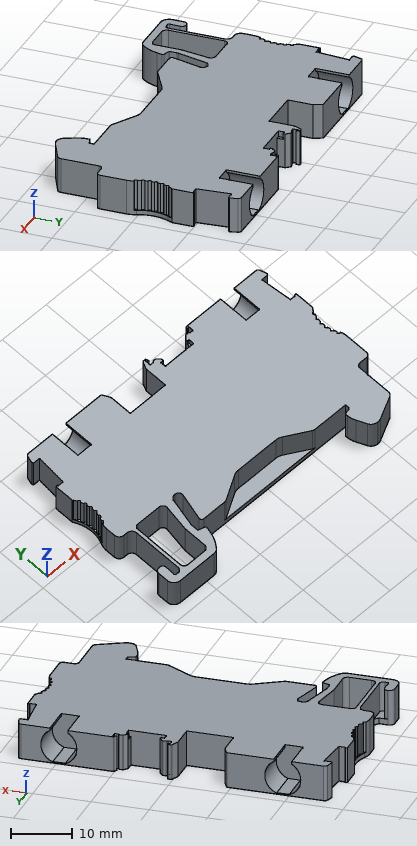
import cadquery as cq
import math

LENGTH = 55.1
HEIGHT = 35.5
THICKNESS = 6.2
MID_X = 27.63
FLANK_X = 0.15
RAIL_Y = 6.1
NOTCH_FLOOR_Y = 29.55
WEB_THICKNESS = 1.05

GRIP_TOP_Y = 23.8
GRIP_BOTTOM_Y = 16.65
GRIP_MIDDLE_Y = (GRIP_TOP_Y + GRIP_BOTTOM_Y) / 2
GRIP_VERTEX_DEPTH = 1.65
GRIP_RADIUS = 6.6
GRIP_BLEND = 3.8
GRIP_STEP = 0.1
BAND_TOP_Y, BAND_BOTTOM_Y = 23.7, 17.25
GROOVE_COUNT = 6
GROOVE_PITCH = 1.1
GROOVE_TOP_Y = 22.8
GROOVE_RADIUS = 0.3
GROOVE_FLOOR_Z = 0.8

ENTRY_CENTERS = (8.65, 47.1)
ENTRY_RADIUS = 3.1
ENTRY_SLOT_WIDTH = 3.1
ENTRY_FLOOR_Z = 0.2
ENTRY_CHAMFER = 0.15
ENTRY_CHAMFER_DROP = 0.1

SEAT_FLOOR_Y = 32.25
SEAT_LEFT, SEAT_RIGHT = 30.3, 35.8
SEAT_POCKET_HEIGHT = 1.05
SEAT_POCKET_DEPTH = 1.05
SEAT_POCKET_LEFT, SEAT_POCKET_RIGHT = 0.6, 0.4

RECESS_LEFT, RECESS_RIGHT = 17.9, 38.1
RECESS_DEPTH = 3.0
RECESS_SLOPE = 30.0
RECESS_INNER_RADIUS = 2.35
RECESS_OUTER_RADIUS = 0.95

CORNER = 0.7


def rounded_outline(vertices):
    """Closed 2D outline through (x, y, radius) vertices, rounded by tangent arcs."""
    corners = []
    count = len(vertices)
    for i, (x, y, radius) in enumerate(vertices):
        here = cq.Vector(x, y)
        if radius == 0:
            corners.append((here, None, here))
            continue
        before = cq.Vector(*vertices[i - 1][:2])
        after = cq.Vector(*vertices[(i + 1) % count][:2])
        to_before = (before - here).normalized()
        to_after = (after - here).normalized()
        half_angle = to_before.getAngle(to_after) / 2
        reach = radius / math.tan(half_angle)
        bisector = (to_before + to_after).normalized()
        middle = here + bisector * (radius / math.sin(half_angle) - radius)
        corners.append((here + to_before * reach, middle, here + to_after * reach))
    outline = cq.Workplane("XY").moveTo(*corners[0][2].toTuple()[:2])
    for start, middle, end in corners[1:] + corners[:1]:
        outline = outline.lineTo(*start.toTuple()[:2])
        if middle is not None:
            outline = outline.threePointArc(middle.toTuple()[:2], end.toTuple()[:2])
    return outline.close()


def prism(vertices, bottom=0.0, top=THICKNESS):
    """Rounded outline extruded between two heights."""
    return rounded_outline(vertices).extrude(top - bottom).translate((0, 0, bottom))


def mirrored(vertices):
    """The same run of vertices on the opposite flank, in the reverse order."""
    return [(2 * MID_X - x, y, r) for x, y, r in reversed(vertices)]


def body():
    left_flank = [
        (FLANK_X, GRIP_BOTTOM_Y, GRIP_BLEND),
        (FLANK_X + GRIP_VERTEX_DEPTH, GRIP_MIDDLE_Y, GRIP_RADIUS),
        (FLANK_X, GRIP_TOP_Y, 0),
        (FLANK_X, 27.6, 0),
        (0.55, 27.6, 0),
        (0.55, 27.45, 0),
        (1.65, 27.45, 0),
        (2.2, 33.5, 0),
        (0.9, 33.5, 0),
        (0.7, 33.8, 0),
        (1.2, HEIGHT, 0.55),
    ]
    middle_notch_and_posts = [
        (18.3, HEIGHT, 0.15),
        (19.05, 34.0, 0),
        (19.05, NOTCH_FLOOR_Y, 0),
        (27.1, NOTCH_FLOOR_Y, 0),
        (27.1, 34.0, 0),
        (27.75, HEIGHT, 0.15),
        (28.45, HEIGHT, 0),
        (28.6, 34.9, 0),
        (28.15, 35.25, 0),
        (28.15, 34.15, 0),
        (28.8, 34.15, 0),
        (29.05, 34.4, 0.15),
        (29.65, 34.4, 0.15),
        (SEAT_LEFT, 33.65, 0),
        (SEAT_LEFT, SEAT_FLOOR_Y, 0),
        (SEAT_RIGHT, SEAT_FLOOR_Y, 0),
        (SEAT_RIGHT, 33.65, 0),
        (36.5, 34.4, 0.15),
        (37.1, 34.4, 0.15),
        (37.3, 34.15, 0),
        (37.95, 34.15, 0),
        (37.95, 35.25, 0),
        (37.35, 34.9, 0),
        (37.7, HEIGHT, 0.1),
    ]
    right_foot = [
        (LENGTH, 10.45, CORNER),
        (52.1, 10.45, CORNER),
        (52.1, 2.55, 0.9),
        (47.1, 0, 1.75),
        (45.6, 0, 1.55),
        (44.0, 3.5, 4.4),
        (43.95, 4.85, 0.1),
        (45.3, 5.25, 0.2),
        (45.3, RAIL_Y, 0),
    ]
    spring_slot = [
        (12.25, RAIL_Y, 0.5),
        (14.05, 12.9, 0.8),
        (12.1, 12.9, 0.9),
        (10.6, 6.7, 1.1),
        (10.6, 5.2, 0.1),
        (12.05, 4.75, 0.2),
    ]
    left_foot = [
        (11.4, 1.95, 7.15),
        (9.85, 0, 1.45),
        (0, 0, 1.5),
        (0, 4.3, 0.9),
        (1.75, 4.3, 0.75),
        (1.65, 1.4, 0.2),
        (3.1, 1.4, CORNER),
        (3.1, 12.9, 1.1),
        (FLANK_X, 12.9, 1.1),
    ]
    return prism(
        left_flank + middle_notch_and_posts + mirrored(left_flank)
        + right_foot + spring_slot + left_foot
    )


def spring_window():
    """Through opening that makes the left foot springy."""
    return prism([
        (3.75, 12.9, CORNER),
        (10.35, 12.9, 0.9),
        (9.3, 6.85, 1.1),
        (9.3, 1.45, 0.9),
        (3.75, 1.45, 0.9),
    ])


def hook_web():
    """Thin web that closes the gap behind the release hook."""
    return prism([
        (0.9, 4.3, 0),
        (2.4, 4.3, 0),
        (3.1, 5.05, 0),
        (3.4, 5.05, 0),
        (3.4, 0.9, 0),
        (0.9, 0.9, 0),
    ], top=WEB_THICKNESS)


def rail_recess():
    run = RECESS_DEPTH / math.tan(math.radians(RECESS_SLOPE))
    outside = RAIL_Y - 2 * RECESS_DEPTH
    margin = 1.65
    return prism([
        (RECESS_LEFT - margin, outside, 0),
        (RECESS_LEFT - margin, RAIL_Y, 0),
        (RECESS_LEFT, RAIL_Y, RECESS_OUTER_RADIUS),
        (RECESS_LEFT + run, RAIL_Y + RECESS_DEPTH, RECESS_INNER_RADIUS),
        (RECESS_RIGHT - run, RAIL_Y + RECESS_DEPTH, RECESS_INNER_RADIUS),
        (RECESS_RIGHT, RAIL_Y, RECESS_OUTER_RADIUS),
        (RECESS_RIGHT + margin, RAIL_Y, 0),
        (RECESS_RIGHT + margin, outside, 0),
    ], bottom=WEB_THICKNESS)


def wire_entry(center_x):
    """Bore with a flat floor, slotted open to the top face and bevelled at the mouth."""
    length = HEIGHT - NOTCH_FLOOR_Y
    axis_z = THICKNESS / 2
    bore = cq.Workplane("XZ", origin=(center_x, HEIGHT, axis_z)).circle(ENTRY_RADIUS).extrude(length)
    above_floor = (
        cq.Workplane("XY", origin=(center_x, HEIGHT - length / 2, ENTRY_FLOOR_Z))
        .rect(2 * ENTRY_RADIUS, length)
        .extrude(THICKNESS - ENTRY_FLOOR_Z)
    )
    slot = (
        cq.Workplane("XY", origin=(center_x, HEIGHT - length / 2, axis_z))
        .rect(ENTRY_SLOT_WIDTH, length)
        .extrude(THICKNESS - axis_z)
    )
    floor_width = 2 * math.sqrt(ENTRY_RADIUS**2 - (axis_z - ENTRY_FLOOR_Z)**2)
    bevel = (
        cq.Workplane("YZ", origin=(center_x - floor_width / 2, HEIGHT, ENTRY_FLOOR_Z))
        .polyline([(-ENTRY_CHAMFER, 0), (0, 0), (0, -ENTRY_CHAMFER_DROP)])
        .close()
        .extrude(floor_width)
    )
    return bore.intersect(above_floor).union(slot).union(bevel)


def left_grip_relief():
    """Band that deepens the left hollow, with round grooves along it."""
    slope = math.atan(2 * GRIP_VERTEX_DEPTH / (GRIP_TOP_Y - GRIP_BOTTOM_Y))
    center_x = FLANK_X + GRIP_VERTEX_DEPTH - GRIP_RADIUS / math.cos(slope)
    band_radius = GRIP_RADIUS + GRIP_STEP
    height = THICKNESS - GROOVE_FLOOR_Z
    base = cq.Workplane("XY", origin=(0, 0, GROOVE_FLOOR_Z))
    disc = base.center(center_x, GRIP_MIDDLE_Y).circle(band_radius).extrude(height)
    strip = (
        base.center(center_x + band_radius, (BAND_TOP_Y + BAND_BOTTOM_Y) / 2)
        .rect(2 * GRIP_RADIUS, BAND_TOP_Y - BAND_BOTTOM_Y)
        .extrude(height)
    )
    points = []
    for i in range(GROOVE_COUNT):
        y = GROOVE_TOP_Y - i * GROOVE_PITCH
        x = center_x + math.sqrt(band_radius**2 - (y - GRIP_MIDDLE_Y)**2)
        points.append((x, y))
    grooves = base.pushPoints(points).circle(GROOVE_RADIUS).extrude(height)
    return disc.intersect(strip).union(grooves)


def seat_pocket(x_from, x_to):
    """Shallow relief in the top face at the foot of a marker post."""
    size = (x_to - x_from, SEAT_POCKET_HEIGHT, SEAT_POCKET_DEPTH)
    corner = (x_from, SEAT_FLOOR_Y, THICKNESS - SEAT_POCKET_DEPTH)
    return cq.Workplane("XY").box(*size, centered=False).translate(corner)


result = body().union(hook_web()).cut(spring_window()).cut(rail_recess())
for entry_x in ENTRY_CENTERS:
    result = result.cut(wire_entry(entry_x))
left_relief = left_grip_relief()
right_relief = left_relief.mirror("YZ", (MID_X, 0, 0))
result = result.cut(left_relief).cut(right_relief)
result = result.cut(seat_pocket(SEAT_LEFT - SEAT_POCKET_LEFT, SEAT_LEFT))
result = result.cut(seat_pocket(SEAT_RIGHT, SEAT_RIGHT + SEAT_POCKET_RIGHT))